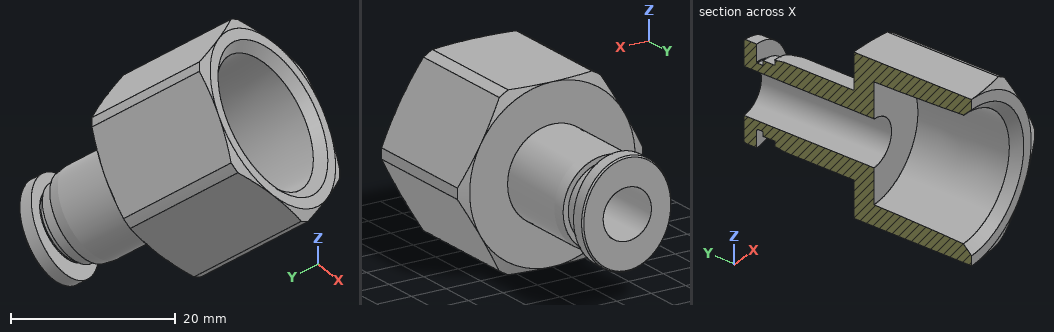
import cadquery as cq
import math


ACROSS_FLATS = 24.0
CORNER_DIAMETER = 26.9
HEX_LENGTH = 18.0
FACE_CHAMFER_ANGLE = 20.0

SOCKET_RIM_DIAMETER = 21.0
SOCKET_MOUTH_DIAMETER = 18.5
SOCKET_FLOOR_DIAMETER = 17.65
THREAD_TAPER = 1 / 16
RIM_CHAMFER_DEPTH = (SOCKET_RIM_DIAMETER - SOCKET_MOUTH_DIAMETER) / 2
THREAD_DEPTH = (SOCKET_MOUTH_DIAMETER - SOCKET_FLOOR_DIAMETER) / THREAD_TAPER
SOCKET_DEPTH = RIM_CHAMFER_DEPTH + THREAD_DEPTH

SLEEVE_DIAMETER = 13.0
SLEEVE_END_DIAMETER = 12.5
SLEEVE_LENGTH = 12.0
SLEEVE_TAPER_LENGTH = 1.5
SLEEVE_END = HEX_LENGTH + SLEEVE_LENGTH

COLLAR_DIAMETER = 11.0
COLLAR_LENGTH = 1.8
NECK_DIAMETER = 9.6
NECK_FLARE = 0.1
COLLAR_END = SLEEVE_END + COLLAR_LENGTH

RING_WIDTH = 13.0
RING_HEIGHT = 15.0
RING_THICKNESS = 2.0
RING_EDGE_CHAMFER = 0.2
TOTAL_LENGTH = 34.7
RING_START = TOTAL_LENGTH - RING_THICKNESS

THROUGH_HOLE_DIAMETER = 7.0


def section_plane(y):
    """Plane across the axis at position y, facing +Y."""
    return cq.Workplane(cq.Plane(origin=(0, y, 0), xDir=(1, 0, 0), normal=(0, 1, 0)))


def turned(profile):
    """Solid of revolution about the Y axis from (radius, y) points."""
    return cq.Workplane("XY").polyline(profile).close().revolve(360, (0, 0), (0, 1))


def make_hex_body():
    """Hexagon trimmed by a cylinder, with conical chamfers touching the flats at both ends."""
    flat_radius = ACROSS_FLATS / 2
    corner_radius = CORNER_DIAMETER / 2
    chamfer_length = (corner_radius - flat_radius) * math.tan(math.radians(FACE_CHAMFER_ANGLE))
    hexagon_diameter = ACROSS_FLATS / math.cos(math.pi / 6)
    prism = section_plane(0).polygon(6, hexagon_diameter).extrude(HEX_LENGTH)
    envelope = turned([
        (0, 0),
        (flat_radius, 0),
        (corner_radius, chamfer_length),
        (corner_radius, HEX_LENGTH - chamfer_length),
        (flat_radius, HEX_LENGTH),
        (0, HEX_LENGTH),
    ])
    return prism.intersect(envelope)


def make_stem():
    """Sleeve, collar and neck, turned in one piece; the neck flares slightly where it meets the ring."""
    sleeve_radius = SLEEVE_DIAMETER / 2
    collar_radius = COLLAR_DIAMETER / 2
    neck_radius = NECK_DIAMETER / 2
    return turned([
        (0, SOCKET_DEPTH),
        (sleeve_radius, SOCKET_DEPTH),
        (sleeve_radius, SLEEVE_END - SLEEVE_TAPER_LENGTH),
        (SLEEVE_END_DIAMETER / 2, SLEEVE_END),
        (collar_radius, SLEEVE_END),
        (collar_radius, COLLAR_END),
        (neck_radius, COLLAR_END),
        (neck_radius, RING_START - NECK_FLARE),
        (neck_radius + NECK_FLARE, RING_START),
        (0, RING_START),
    ])


def make_release_ring():
    """Elliptical ring, taller along Z, with its outer end edge chamfered."""
    ring = section_plane(RING_START).ellipse(RING_WIDTH / 2, RING_HEIGHT / 2).extrude(RING_THICKNESS)
    return ring.faces(">Y").chamfer(RING_EDGE_CHAMFER)


def make_socket():
    """Tapered socket void with a chamfered rim."""
    return turned([
        (0, 0),
        (SOCKET_RIM_DIAMETER / 2, 0),
        (SOCKET_MOUTH_DIAMETER / 2, RIM_CHAMFER_DEPTH),
        (SOCKET_FLOOR_DIAMETER / 2, SOCKET_DEPTH),
        (0, SOCKET_DEPTH),
    ])


def make_through_hole():
    """Bore along the whole axis."""
    return section_plane(0).circle(THROUGH_HOLE_DIAMETER / 2).extrude(TOTAL_LENGTH)


outside = make_hex_body().union(make_stem()).union(make_release_ring())
result = outside.cut(make_socket()).cut(make_through_hole())